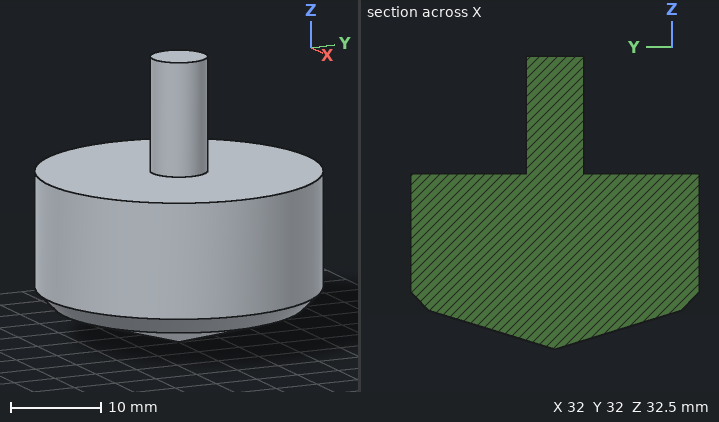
import cadquery as cq

total_height = 32.5
body_diameter = 32.0
stud_diameter = 6.4
stud_length = 13.0
chamfer_size = 2.0
tip_height = 4.3

body_radius = body_diameter / 2
stud_radius = stud_diameter / 2
cone_radius = body_radius - chamfer_size
body_top = total_height - stud_length
chamfer_top = tip_height + chamfer_size

half_section = (
    cq.Workplane("XZ")
    .moveTo(0, 0)
    .lineTo(cone_radius, tip_height)
    .lineTo(body_radius, chamfer_top)
    .lineTo(body_radius, body_top)
    .lineTo(stud_radius, body_top)
    .lineTo(stud_radius, total_height)
    .lineTo(0, total_height)
    .close()
)

result = half_section.revolve(360, (0, 0, 0), (0, 1, 0))